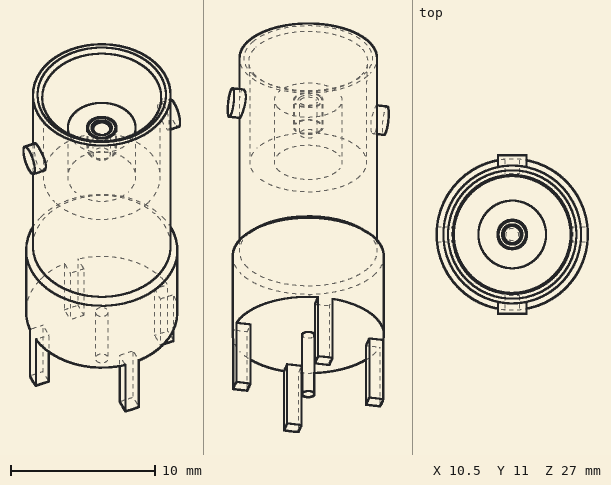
import cadquery as cq

total_height = 27.0
base_bottom = 4.75
barrel_bottom = 11.5
stud_height = 22.7

base_diameter = 10.5
base_radius = base_diameter / 2
barrel_radius = 4.78
shoulder_height = 0.4

rim_radius = 4.45
mouth_radius = 4.13
bore_radius = 4.05
lead_in_depth = 0.27
taper_depth = 2.08
bore_depth = 8.37

insulator_radius = 2.35
insulator_depth = 3.38
contact_hole_radius = 1.03
contact_radius = 0.95
contact_gap_depth = 2.15
socket_mouth_radius = 0.7
socket_radius = 0.6
socket_chamfer = socket_mouth_radius - socket_radius
socket_depth = 2.7

stud_radius = 1.0
stud_span = 11.02

leg_width = 1.03
pin_radius = 0.43


def cylinder(radius, bottom, top):
    return cq.Workplane("XY").workplane(offset=bottom).circle(radius).extrude(top - bottom)


def make_shell():
    """Base with a sloped shoulder below the plain barrel."""
    outline = [
        (0, base_bottom),
        (base_radius, base_bottom),
        (base_radius, barrel_bottom - shoulder_height),
        (barrel_radius, barrel_bottom),
        (barrel_radius, total_height),
        (0, total_height),
    ]
    return cq.Workplane("XZ").polyline(outline).close().revolve(360, (0, 0), (0, 1))


def make_studs():
    """Two opposed studs, formed as one rod along Y that the bore later cuts through."""
    return (
        cq.Workplane("XZ")
        .center(0, stud_height)
        .circle(stud_radius)
        .extrude(stud_span / 2, both=True)
    )


def make_bore():
    taper_end = total_height - lead_in_depth - taper_depth
    bore_floor = total_height - bore_depth
    outline = [
        (0, total_height),
        (rim_radius, total_height),
        (mouth_radius, total_height - lead_in_depth),
        (bore_radius, taper_end),
        (bore_radius, bore_floor),
        (0, bore_floor),
    ]
    return cq.Workplane("XZ").polyline(outline).close().revolve(360, (0, 0), (0, 1))


def make_insulator():
    """Insulator with a thin ring gap around a chamfered contact socket."""
    top = total_height - insulator_depth
    bottom = total_height - bore_depth
    insulator = cylinder(insulator_radius, bottom, top)
    gap_floor = top - contact_gap_depth
    gap = cylinder(contact_hole_radius, gap_floor, top).cut(cylinder(contact_radius, gap_floor, top))
    socket = cylinder(socket_radius, top - socket_depth, top)
    socket_mouth = (
        cq.Workplane("XY")
        .workplane(offset=top)
        .circle(socket_mouth_radius)
        .workplane(offset=-socket_chamfer)
        .circle(socket_radius)
        .loft()
    )
    return insulator.cut(gap).cut(socket).cut(socket_mouth)


def make_legs():
    """Four legs on the X and Y axes whose outer faces follow the base cylinder."""
    ring = cylinder(base_radius, 0, base_bottom)
    ring_width = 2 * base_radius
    inner_width = ring_width - 2 * leg_width
    cross = (
        cq.Workplane("XY").rect(ring_width, leg_width).extrude(base_bottom)
        .union(cq.Workplane("XY").rect(leg_width, ring_width).extrude(base_bottom))
        .cut(cq.Workplane("XY").rect(inner_width, inner_width).extrude(base_bottom))
    )
    return ring.intersect(cross)


result = (
    make_shell()
    .union(make_studs())
    .cut(make_bore())
    .union(make_insulator())
    .union(make_legs())
    .union(cylinder(pin_radius, 0, base_bottom))
)